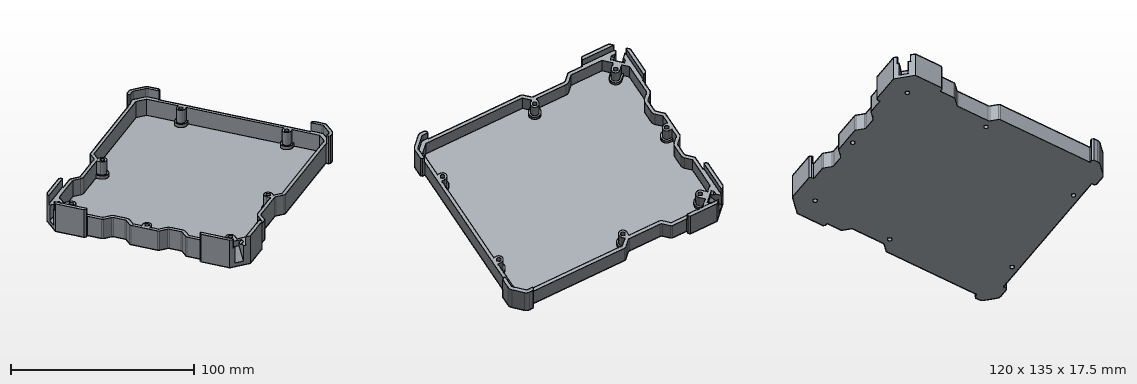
import cadquery as cq
import math

length = 135.0
width = 120.0
height = 17.5
wall_height = 12.3
floor_thickness = 2.0
wall_thickness = 2.0
wall_inset = 2.5
wall_corner_round = 1.5
wall_half_x = width / 2 - wall_inset
wall_half_y = length / 2 - wall_inset
back_wall_chamfer = 5.7
front_wall_chamfer = 12.2

recess_depth = 4.2
side_recess_y = -17.3
side_recess_half = 14.5
front_recess_x = 16.5
front_recess_half = 8.1

guard_thickness = 2.0
guard_end_bevel = 1.0
back_guard_chamfer = 7.2
back_guard_round = 3.5
back_guard_x = 15.3
back_guard_y = 11.7
front_guard_chamfer = 8.6
front_guard_reach = 26.5
guard_gap_x = 7.3
guard_gap_y = 6.6

slot_width = 5.0
slot_floor = 2.4
slot_depth = 6.3
slot_offset = 0.7
hopper_width = 8.1
hopper_drop = (hopper_width - slot_width) / 2
hopper_taper = math.degrees(math.atan(math.sqrt(0.5)))

hole_diameter = 2.4
post_radius = 2.4
collar_radius = 3.5
collar_height = 2.0
back_post_spacing = 62.4
back_post_shift = 1.1
back_post_xs = [back_post_shift + side * back_post_spacing / 2 for side in (-1, 1)]
end_post_y = 61.2
side_post = (48.9, -6.1)
corner_post = (46.8, -55.6)
web_length = 6.8

backward = 90
front_left = 225
frontward = 270


def mirrored(shape):
    """Return the shape joined with its copy across the YZ plane."""
    return shape.union(shape.mirror("YZ"))


def block(x_min, x_max, y_min, y_max, z_min, z_max):
    size = (x_max - x_min, y_max - y_min, z_max - z_min)
    return cq.Workplane("XY").box(*size, centered=False).translate((x_min, y_min, z_min))


def back_chamfered_block(half_x, half_y, block_height, chamfer, rounding):
    """Block with its two back corners chamfered and the chamfer ends rounded."""
    solid = block(-half_x, half_x, -half_y, half_y, 0, block_height)
    solid = solid.edges("|Z and >Y").chamfer(chamfer)
    return solid.edges("|Z and (not <Y)").fillet(rounding)


def recess(half_opening):
    """45 degree trapezoid, opening along X at y = 0 and narrowing toward +Y."""
    narrow = half_opening - recess_depth
    return cq.Workplane("XY").polyline([
        (-half_opening, 0),
        (half_opening, 0),
        (narrow, recess_depth),
        (-narrow, recess_depth),
    ]).close().extrude(wall_height)


def wall_block():
    """Solid block bounded by the outside of the wall."""
    solid = block(-wall_half_x, wall_half_x, -wall_half_y, wall_half_y, 0, wall_height)
    solid = solid.edges("|Z and >Y").chamfer(back_wall_chamfer)
    solid = solid.edges("|Z and <Y").chamfer(front_wall_chamfer)
    front_recess = recess(front_recess_half).translate((-front_recess_x, -wall_half_y, 0))
    side_recess = recess(side_recess_half).rotate((0, 0, 0), (0, 0, 1), -90)
    side_recess = side_recess.translate((-wall_half_x, side_recess_y, 0))
    solid = solid.cut(mirrored(front_recess)).cut(mirrored(side_recess))
    return solid.edges("|Z").fillet(wall_corner_round)


def cavity(outer):
    """Space inside the wall and above the floor."""
    outline = outer.faces("<Z").wires().val()
    inside = cq.Workplane("XY").newObject(outline.offset2D(-wall_thickness))
    return inside.toPending().extrude(wall_height).translate((0, 0, floor_thickness))


def guard_window(reach_x, reach_y, side):
    """Column over the -X corner at the front (side -1) or back (side 1), bevelled at the guard ends."""
    left = -width / 2
    end_x = left + reach_x
    outer_y = side * length / 2
    end_y = side * (length / 2 - reach_y)
    return cq.Workplane("XY").polyline([
        (left, outer_y),
        (end_x - guard_end_bevel, outer_y),
        (end_x, outer_y - side * guard_end_bevel),
        (end_x, end_y),
        (left + guard_end_bevel, end_y),
        (left, end_y + side * guard_end_bevel),
    ]).close().extrude(height)


def guards():
    """Corner guards, solid up to the wall top and hollow above it."""
    outer = back_chamfered_block(
        width / 2, length / 2, height, back_guard_chamfer, back_guard_round
    )
    outer = outer.edges("|Z and <Y").chamfer(front_guard_chamfer)
    inner = back_chamfered_block(
        width / 2 - guard_thickness,
        length / 2 - guard_thickness,
        height,
        back_guard_chamfer - guard_thickness * (2 - math.sqrt(2)),
        back_guard_round - guard_thickness,
    ).translate((0, 0, wall_height))
    window = guard_window(back_guard_x, back_guard_y, 1)
    window = window.union(guard_window(front_guard_reach, front_guard_reach, -1))
    gap = block(0, guard_gap_x, 0, guard_gap_y, wall_height, height)
    gap = gap.translate((-width / 2, -length / 2, 0))
    return outer.cut(inner).intersect(mirrored(window)).cut(mirrored(gap))


def latch_slot():
    """Ramped slot through the -X front chamfer, flared below the wall top."""
    run = front_guard_chamfer / math.sqrt(2)
    slot = cq.Workplane("XZ").polyline([
        (-run, slot_floor),
        (0, slot_floor),
        (slot_depth, slot_floor + slot_depth),
        (slot_depth, wall_height),
        (-run, wall_height),
    ]).close().extrude(slot_width / 2, both=True)
    hopper = cq.Workplane("YZ").polyline([
        (-slot_width / 2, wall_height - hopper_drop),
        (slot_width / 2, wall_height - hopper_drop),
        (hopper_width / 2, wall_height),
        (-hopper_width / 2, wall_height),
    ]).close().extrude(slot_depth)

    def place(shape):
        middle = front_guard_chamfer / 2
        corner = (-width / 2 + middle + slot_offset / 2, -length / 2 + middle - slot_offset / 2, 0)
        return shape.rotate((0, 0, 0), (0, 0, 1), 45).translate(corner)

    funnel = cq.Workplane("XY").workplane(offset=wall_height).rect(
        2 * (wall_half_x - wall_thickness), 2 * (wall_half_y - wall_thickness)
    ).extrude(-hopper_drop, taper=hopper_taper)
    return place(slot).union(place(hopper).intersect(funnel))


def post(radius, post_height, web_shape):
    return cq.Workplane("XY").circle(radius).extrude(post_height).union(web_shape)


def web(radius, web_height, direction):
    """Bar as wide as a post, running from the origin toward the wall at an angle in degrees."""
    bar = block(0, web_length, -radius, radius, 0, web_height)
    return bar.rotate((0, 0, 0), (0, 0, 1), direction)


def trimmed_web(radius, web_height, direction):
    """Web toward -X and -Y whose front edge runs along X, tangent to the post."""
    limit = block(-web_length, 0, -radius, web_length, 0, web_height)
    return web(radius, web_height, direction).intersect(limit)


def posts(radius, post_height):
    """All seven posts, each joined to the nearest wall by its web."""
    corner = post(radius, post_height, web(radius, post_height, front_left))
    corner = corner.translate((-corner_post[0], corner_post[1], 0))
    side = post(radius, post_height, trimmed_web(radius, post_height, front_left))
    side = side.translate((-side_post[0], side_post[1], 0))
    front = post(radius, post_height, web(radius, post_height, frontward))
    group = mirrored(corner.union(side)).union(front.translate((0, -end_post_y, 0)))
    back = post(radius, post_height, web(radius, post_height, backward))
    for x in back_post_xs:
        group = group.union(back.translate((x, end_post_y, 0)))
    return group


def screw_holes():
    centers = [(0, -end_post_y)] + [(x, end_post_y) for x in back_post_xs]
    for side in (-1, 1):
        centers += [
            (side * side_post[0], side_post[1]),
            (side * corner_post[0], corner_post[1]),
        ]
    return cq.Workplane("XY").pushPoints(centers).circle(hole_diameter / 2).extrude(wall_height)


outer_block = wall_block()
body = outer_block.union(guards()).cut(cavity(outer_block))
post_set = posts(post_radius, wall_height).union(
    posts(collar_radius, floor_thickness + collar_height)
)
body = body.union(post_set.intersect(outer_block))
result = body.cut(mirrored(latch_slot())).cut(screw_holes())